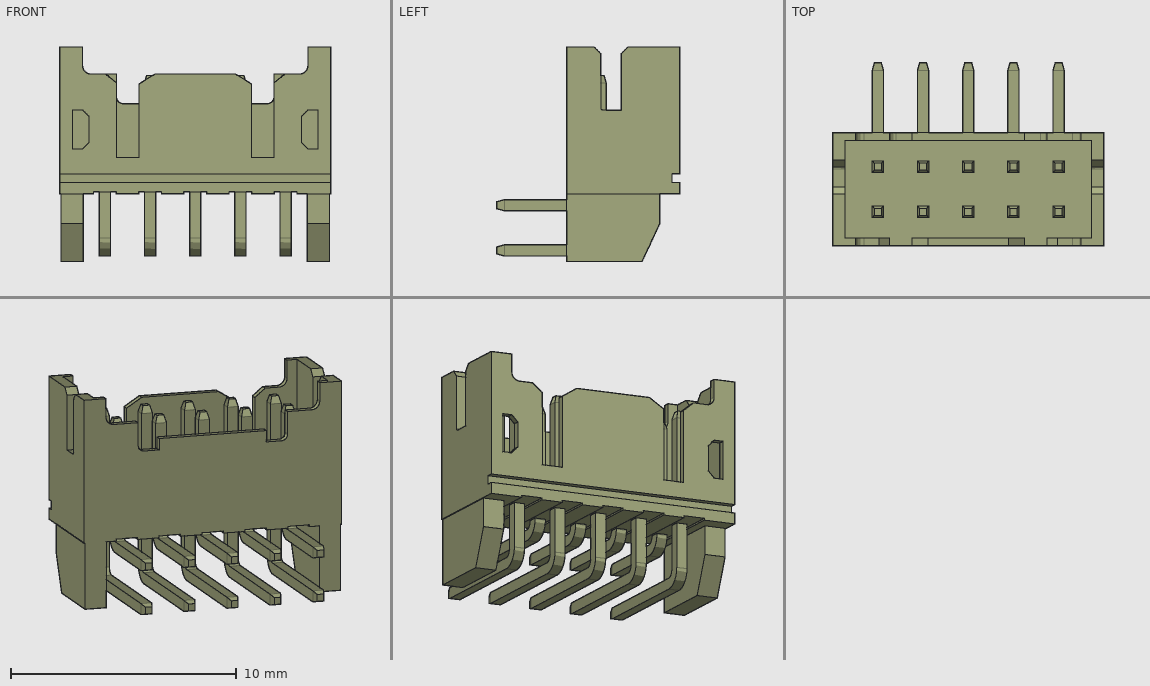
import cadquery as cq
import math


ARC_MIDPOINT = 1 - math.sqrt(0.5)

LENGTH = 12.0
DEPTH = 5.0
HEIGHT = 6.5
FLOOR_TOP = 1.61
SIDE_WALL = 0.55
LONG_WALL = 0.35
HALF_LENGTH = LENGTH / 2
HALF_CAVITY = HALF_LENGTH - SIDE_WALL

LEDGE_TOP = 5.3
POST_WIDTH = 1.02
POST_FILLET = 0.37
SLOT_INNER = 2.5
SLOT_OUTER = 3.48
BACK_SLOT_BOTTOM = 4.0
BACK_SLOT_FILLET = 0.29
BACK_TAB_TOP = 4.51
TAB_CHAMFER_X = 0.71
TAB_CHAMFER_Z = 0.45
LEDGE_CHAMFER_X = 0.48
LEDGE_CHAMFER_Z = 0.4

WINDOW_INNER = 4.69
WINDOW_OUTER = 5.42
WINDOW_BOTTOM = 1.98
WINDOW_TOP = 3.72
WINDOW_CHAMFER = 0.3

NOTCH_FRONT = 2.59
NOTCH_BACK = 3.49
NOTCH_BOTTOM = 3.71
NOTCH_CHAMFER = 0.3
NOTCH_FILLET = 0.1

GROOVE_BOTTOM = 0.5
GROOVE_TOP = 0.89
GROOVE_DEPTH = 0.34

FOOT_INSET = 0.05
FOOT_WIDTH = 1.0
FOOT_HEIGHT = 3.0
FOOT_FRONT = 0.88
FOOT_TOE = 1.67
FOOT_SLOPE_TOP = 1.31

COLUMNS = 5
PITCH = LENGTH / (COLUMNS + 1)
PIN_SIZE = 0.5
PIN_TIP_SIZE = 0.31
PIN_TIP_LENGTH = 0.34
PIN_BEND_RADIUS = 0.8
PIN_TOP = 5.25
PIN_END = 8.1
FIRST_TAIL_DROP = 0.5
RELIEF_WIDTH = 1.0
RELIEF_DEPTH = 0.08

COLUMN_X = [(i - (COLUMNS - 1) / 2) * PITCH for i in range(COLUMNS)]


def block(x0, x1, y0, y1, z0, z1):
    """Box between two opposite corners."""
    return cq.Workplane("XY").box(x1 - x0, y1 - y0, z1 - z0, centered=False).translate((x0, y0, z0))


def prism_along_y(sketch, y0, y1):
    """Extrude an XZ outline from y0 to y1."""
    return sketch.extrude(-(y1 - y0)).translate((0, y0, 0))


def both_sides(solid):
    """The solid together with its mirror image across X = 0."""
    return solid.union(solid.mirror("YZ"))


def post_gap():
    """Half of the opening above the ledges, between the tall corner posts, rounded at its foot."""
    post_inner = HALF_LENGTH - POST_WIDTH
    swing = POST_FILLET * ARC_MIDPOINT
    return (
        cq.Workplane("XZ")
        .moveTo(0, HEIGHT)
        .lineTo(0, LEDGE_TOP)
        .lineTo(post_inner - POST_FILLET, LEDGE_TOP)
        .threePointArc(
            (post_inner - swing, LEDGE_TOP + swing),
            (post_inner, LEDGE_TOP + POST_FILLET),
        )
        .lineTo(post_inner, HEIGHT)
        .close()
    )


def front_slot():
    """Slot beside the front tab, with the tab and ledge corners cut off at its mouth."""
    return cq.Workplane("XZ").polyline([
        (SLOT_INNER, FLOOR_TOP),
        (SLOT_OUTER, FLOOR_TOP),
        (SLOT_OUTER, LEDGE_TOP - LEDGE_CHAMFER_Z),
        (SLOT_OUTER + LEDGE_CHAMFER_X, LEDGE_TOP),
        (SLOT_INNER - TAB_CHAMFER_X, LEDGE_TOP),
        (SLOT_INNER, LEDGE_TOP - TAB_CHAMFER_Z),
    ]).close()


def back_slot():
    """Shallow slot in the back wall, rounded at its outer lower corner."""
    swing = BACK_SLOT_FILLET * ARC_MIDPOINT
    return (
        cq.Workplane("XZ")
        .moveTo(SLOT_INNER, LEDGE_TOP)
        .lineTo(SLOT_INNER, BACK_SLOT_BOTTOM)
        .lineTo(SLOT_OUTER - BACK_SLOT_FILLET, BACK_SLOT_BOTTOM)
        .threePointArc(
            (SLOT_OUTER - swing, BACK_SLOT_BOTTOM + swing),
            (SLOT_OUTER, BACK_SLOT_BOTTOM + BACK_SLOT_FILLET),
        )
        .lineTo(SLOT_OUTER, LEDGE_TOP)
        .close()
    )


def window():
    """Latch window with its two inner corners cut off."""
    return cq.Workplane("XZ").polyline([
        (WINDOW_OUTER, WINDOW_BOTTOM),
        (WINDOW_OUTER, WINDOW_TOP),
        (WINDOW_INNER + WINDOW_CHAMFER, WINDOW_TOP),
        (WINDOW_INNER, WINDOW_TOP - WINDOW_CHAMFER),
        (WINDOW_INNER, WINDOW_BOTTOM + WINDOW_CHAMFER),
        (WINDOW_INNER + WINDOW_CHAMFER, WINDOW_BOTTOM),
    ]).close()


def side_notch():
    """Keying notch through both side walls, flared at the top and rounded at its back lower corner."""
    swing = NOTCH_FILLET * ARC_MIDPOINT
    outline = (
        cq.Workplane("YZ")
        .moveTo(NOTCH_FRONT, NOTCH_BOTTOM)
        .lineTo(NOTCH_BACK - NOTCH_FILLET, NOTCH_BOTTOM)
        .threePointArc(
            (NOTCH_BACK - swing, NOTCH_BOTTOM + swing),
            (NOTCH_BACK, NOTCH_BOTTOM + NOTCH_FILLET),
        )
        .lineTo(NOTCH_BACK, HEIGHT - NOTCH_CHAMFER)
        .lineTo(NOTCH_BACK + NOTCH_CHAMFER, HEIGHT)
        .lineTo(NOTCH_FRONT - NOTCH_CHAMFER, HEIGHT)
        .lineTo(NOTCH_FRONT, HEIGHT - NOTCH_CHAMFER)
        .close()
    )
    return outline.extrude(HALF_LENGTH, both=True)


def housing():
    """Open-topped shroud with its wall openings, front groove and underside reliefs."""
    body = block(-HALF_LENGTH, HALF_LENGTH, 0, DEPTH, 0, HEIGHT)
    body = body.cut(
        block(-HALF_CAVITY, HALF_CAVITY, LONG_WALL, DEPTH - LONG_WALL, FLOOR_TOP, HEIGHT)
    )
    body = body.cut(both_sides(prism_along_y(post_gap(), 0, DEPTH)))
    body = body.cut(both_sides(prism_along_y(front_slot(), 0, LONG_WALL)))
    body = body.cut(both_sides(prism_along_y(back_slot(), DEPTH - LONG_WALL, DEPTH)))
    body = body.cut(
        block(-SLOT_INNER, SLOT_INNER, DEPTH - LONG_WALL, DEPTH, BACK_TAB_TOP, LEDGE_TOP)
    )
    body = body.cut(both_sides(prism_along_y(window(), 0, LONG_WALL)))
    body = body.cut(side_notch())
    body = body.cut(block(-HALF_LENGTH, HALF_LENGTH, 0, GROOVE_DEPTH, GROOVE_BOTTOM, GROOVE_TOP))
    for x in COLUMN_X:
        body = body.cut(
            block(x - RELIEF_WIDTH / 2, x + RELIEF_WIDTH / 2, 0, DEPTH, 0, RELIEF_DEPTH)
        )
    return body


def feet():
    """Pair of mounting feet below the ends of the housing, sloped at the front."""
    outline = cq.Workplane("YZ").polyline([
        (FOOT_FRONT, 0),
        (DEPTH, 0),
        (DEPTH, -FOOT_HEIGHT),
        (FOOT_TOE, -FOOT_HEIGHT),
        (FOOT_FRONT, -FOOT_SLOPE_TOP),
    ]).close()
    foot = outline.extrude(FOOT_WIDTH).translate((HALF_LENGTH - FOOT_INSET - FOOT_WIDTH, 0, 0))
    return both_sides(foot)


def pin(row_y, tail_z):
    """Square bent pin at X = 0: contact upward at row_y, tail backward at tail_z, both tips tapered."""
    half = PIN_SIZE / 2
    contact_shoulder = PIN_TOP - PIN_TIP_LENGTH
    tail_shoulder = PIN_END - PIN_TIP_LENGTH
    front = row_y - half
    bottom = tail_z - half
    swing = PIN_BEND_RADIUS * ARC_MIDPOINT
    inner_radius = PIN_BEND_RADIUS - PIN_SIZE
    inner_swing = PIN_SIZE + inner_radius * ARC_MIDPOINT
    bent_bar = (
        cq.Workplane("YZ")
        .moveTo(front, contact_shoulder)
        .lineTo(front, bottom + PIN_BEND_RADIUS)
        .threePointArc((front + swing, bottom + swing), (front + PIN_BEND_RADIUS, bottom))
        .lineTo(tail_shoulder, bottom)
        .lineTo(tail_shoulder, bottom + PIN_SIZE)
        .lineTo(front + PIN_BEND_RADIUS, bottom + PIN_SIZE)
        .threePointArc(
            (front + inner_swing, bottom + inner_swing),
            (front + PIN_SIZE, bottom + PIN_BEND_RADIUS),
        )
        .lineTo(front + PIN_SIZE, contact_shoulder)
        .close()
        .extrude(half, both=True)
    )
    taper = math.degrees(math.atan((PIN_SIZE - PIN_TIP_SIZE) / 2 / PIN_TIP_LENGTH))
    tip = cq.Workplane("XY").rect(PIN_SIZE, PIN_SIZE).extrude(PIN_TIP_LENGTH, taper=taper)
    contact_tip = tip.translate((0, row_y, contact_shoulder))
    tail_tip = tip.rotate((0, 0, 0), (1, 0, 0), -90).translate((0, tail_shoulder, tail_z))
    return bent_bar.union(contact_tip).union(tail_tip)


back_pin = pin(DEPTH / 2 + PITCH / 2, -FIRST_TAIL_DROP)
front_pin = pin(DEPTH / 2 - PITCH / 2, -FIRST_TAIL_DROP - PITCH)

result = housing().union(feet())
for column in COLUMN_X:
    result = result.union(back_pin.translate((column, 0, 0)))
    result = result.union(front_pin.translate((column, 0, 0)))